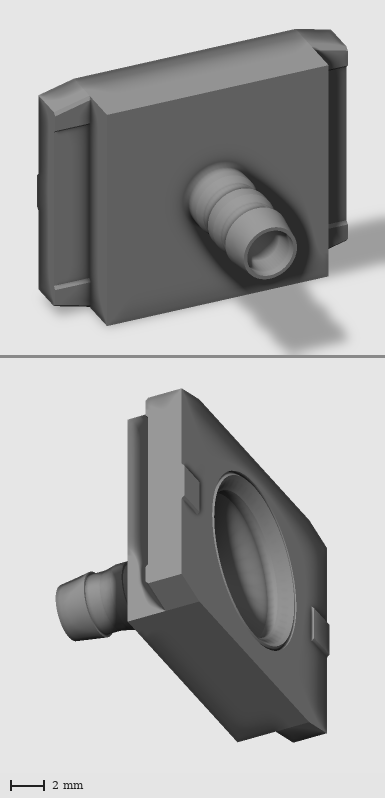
import cadquery as cq

block_size = 14.3
block_thickness = 4.72
plate_length = 18.9
tab_thickness = 2.21
tab_taper = 0.59
half_block = block_size / 2
half_length = plate_length / 2
tab_end_height = half_block - tab_taper

ridge_height = 0.19
ridge_inner_z = 5.2

pad_height = 0.17
pad_length = 1.98
pad_width = 2.45

barb_radius = 2.0
neck_radius = 1.83
tip_radius = 1.72
root_fillet = 0.26
first_barb_end = 6.05
first_neck_start = 6.77
second_barb_start = 7.73
second_barb_end = 8.49
second_neck_start = 9.26
tip_barb_start = 10.22
tip_x = 12.23

seat_radius = 5.48
seat_depth = 0.66
cup_radius = 4.5
cup_depth = 1.4
funnel_end = 3.14
bore_radius = 1.5

seal_inner_radius = 4.57
seal_lip_radius = 5.22
seal_chamfer = seat_radius - seal_lip_radius
cup_chamfer = seal_inner_radius - cup_radius


def revolve_about_x(outline):
    return outline.close().revolve(360, (0, 0, 0), (1, 0, 0))


def make_plate():
    block = cq.Workplane("YZ").rect(block_size, block_size).extrude(block_thickness)
    tabs = (
        cq.Workplane("YZ")
        .moveTo(half_block, half_block)
        .lineTo(half_length, tab_end_height)
        .lineTo(half_length, -tab_end_height)
        .lineTo(half_block, -half_block)
        .lineTo(-half_block, -half_block)
        .lineTo(-half_length, -tab_end_height)
        .lineTo(-half_length, tab_end_height)
        .lineTo(-half_block, half_block)
        .close()
        .extrude(tab_thickness)
    )
    return block.union(tabs)


def make_ridge():
    """Ridge at the +Y, +Z corner, with sloped upper and lower sides."""
    base = [
        (half_block, ridge_inner_z),
        (half_length, ridge_inner_z),
        (half_length, tab_end_height),
        (half_block, half_block),
    ]
    crest_inner_z = ridge_inner_z + ridge_height
    crest = [
        (half_block, crest_inner_z),
        (half_length, crest_inner_z),
        (half_length, tab_end_height - ridge_height),
        (half_block, half_block - ridge_height),
    ]
    return (
        cq.Workplane("YZ", origin=(tab_thickness, 0, 0))
        .polyline(base).close()
        .workplane(offset=ridge_height)
        .polyline(crest).close()
        .loft(ruled=True)
    )


def make_pad():
    """Pad at the +Y end, with its long sides sloped at 45 degrees."""
    half_width = pad_width / 2
    crest_half_width = half_width - pad_height
    return (
        cq.Workplane("XZ", origin=(0, half_length, 0))
        .polyline([
            (0, -half_width),
            (-pad_height, -crest_half_width),
            (-pad_height, crest_half_width),
            (0, half_width),
        ])
        .close()
        .extrude(pad_length)
    )


def make_barb():
    root_end = block_thickness + root_fillet
    return revolve_about_x(
        cq.Workplane("XY")
        .moveTo(block_thickness, 0)
        .lineTo(block_thickness, barb_radius + root_fillet)
        .radiusArc((root_end, barb_radius), -root_fillet)
        .lineTo(first_barb_end, barb_radius)
        .lineTo(first_neck_start, neck_radius)
        .lineTo(second_barb_start, neck_radius)
        .lineTo(second_barb_start, barb_radius)
        .lineTo(second_barb_end, barb_radius)
        .lineTo(second_neck_start, neck_radius)
        .lineTo(tip_barb_start, neck_radius)
        .lineTo(tip_barb_start, barb_radius)
        .lineTo(tip_x, tip_radius)
        .lineTo(tip_x, 0)
    )


def make_passage():
    """Space removed for the seal seat, cup, funnel and bore."""
    return revolve_about_x(
        cq.Workplane("XY")
        .moveTo(0, 0)
        .lineTo(0, seat_radius)
        .lineTo(seat_depth, seat_radius)
        .lineTo(seat_depth, seal_inner_radius)
        .lineTo(seat_depth + cup_chamfer, cup_radius)
        .lineTo(cup_depth, cup_radius)
        .lineTo(funnel_end, bore_radius)
        .lineTo(tip_x, bore_radius)
        .lineTo(tip_x, 0)
    )


def make_housing():
    body = make_plate().union(make_barb())
    upper_ridge = make_ridge()
    lower_ridge = upper_ridge.mirror("XY")
    pad = make_pad()
    for feature in (upper_ridge, lower_ridge, pad):
        body = body.union(feature).union(feature.mirror("XZ"))
    return body.cut(make_passage())


def make_seal():
    """Ring in the seat: a lip level with the mating face, sloping away on both sides."""
    return revolve_about_x(
        cq.Workplane("XY")
        .moveTo(seat_depth, seal_inner_radius)
        .lineTo(0, seal_lip_radius)
        .lineTo(seal_chamfer, seat_radius)
        .lineTo(seat_depth, seat_radius)
    )


housing = make_housing()
seal = make_seal()
result = cq.Compound.makeCompound([housing.val(), seal.val()])